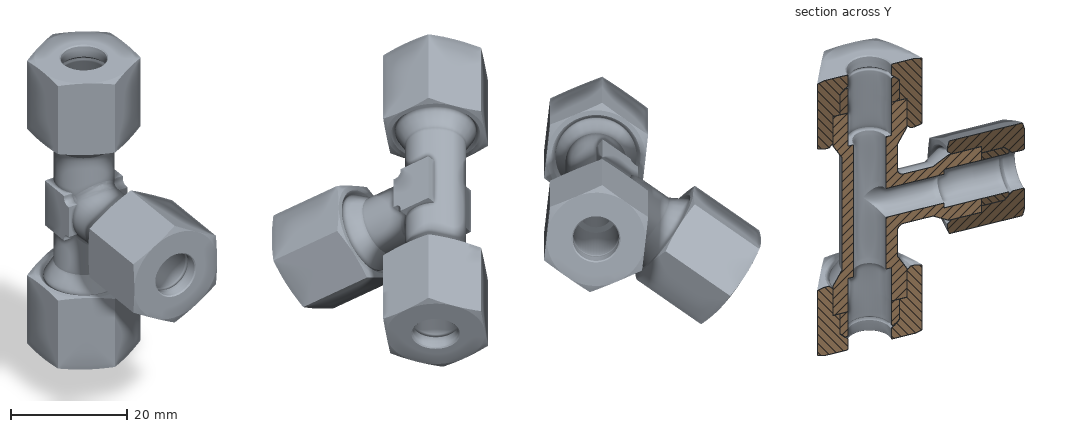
import cadquery as cq
import math

ARM_ANGLES = (0, 90, 180)

ARM_LENGTH = 29.0
BORE_DIAMETER = 6.0
TUBE_DIAMETER = 8.0

NUT_ACROSS_FLATS = 17.0
NUT_LENGTH = 14.5
NUT_CORNER_SLOPE = 15.0
NUT_MOUTH_DIAMETER = 15.3
NUT_MOUTH_DEPTH = 0.7
NUT_EXIT_CHAMFER = 0.205
NUT_EXIT_DEPTH = 2.3

FERRULE_DIAMETER = 11.0
FERRULE_SETBACK = 0.5
FERRULE_RIM_RADIUS = 0.35

STEM_DIAMETER = 10.5
STUD_DIAMETER = 14.0
STUD_END = 21.0
TUBE_STOP = 14.0
COLLAR_START = 11.85
COLLAR_SLOPE = 30.0
CROTCH_RADIUS = 1.1
EDGE_TOLERANCE = 0.005

BOSS_HALF_WIDTH = 3.0
BOSS_REACH = 4.5
BOSS_THICKNESS = 12.05

nut_start = ARM_LENGTH - NUT_LENGTH
seat_end = ARM_LENGTH - NUT_EXIT_DEPTH
seat_start = seat_end - (FERRULE_DIAMETER - TUBE_DIAMETER) / 2
ferrule_end = seat_end - FERRULE_SETBACK
nut_corner_diameter = NUT_ACROSS_FLATS / math.cos(math.radians(30))
collar_end = COLLAR_START + (STUD_DIAMETER - STEM_DIAMETER) / 2 / math.tan(math.radians(COLLAR_SLOPE))


def rod(diameter, start, end):
    """Round rod on the Z axis between two heights."""
    return cq.Workplane("XY").workplane(offset=start).circle(diameter / 2).extrude(end - start)


def cone(start_diameter, end_diameter, start, end):
    """Tapered rod on the Z axis between two heights."""
    profile = [(0, start), (start_diameter / 2, start), (end_diameter / 2, end), (0, end)]
    return cq.Workplane("XZ").polyline(profile).close().revolve(360, (0, 0), (0, 1))


def turn(solid, angle):
    """Turn an arm feature from +Z about the Y axis."""
    return solid.rotate((0, 0, 0), (0, 1, 0), angle)


def nut_envelope():
    """Turned blank that bevels the hexagon corners at both ends of the nut."""
    flat_radius = NUT_ACROSS_FLATS / 2
    corner_radius = nut_corner_diameter / 2
    bevel = (corner_radius - flat_radius) * math.tan(math.radians(NUT_CORNER_SLOPE))
    profile = [
        (0, nut_start),
        (flat_radius, nut_start),
        (corner_radius, nut_start + bevel),
        (corner_radius, ARM_LENGTH - bevel),
        (flat_radius, ARM_LENGTH),
        (0, ARM_LENGTH),
    ]
    return cq.Workplane("XZ").polyline(profile).close().revolve(360, (0, 0), (0, 1))


def ferrule_space():
    """Space inside the nut for the ferrule, closing at 45 degrees onto the tube diameter."""
    return rod(FERRULE_DIAMETER, STUD_END, seat_start).union(
        cone(FERRULE_DIAMETER, TUBE_DIAMETER, seat_start, seat_end)
    )


def make_nut():
    """Hexagon nut with a mouth bevel, stud recess, conical ferrule seat and tube exit."""
    hexagon = (
        cq.Workplane("XY").workplane(offset=nut_start).polygon(6, nut_corner_diameter).extrude(NUT_LENGTH)
    )
    exit_mouth_diameter = TUBE_DIAMETER + 2 * NUT_EXIT_CHAMFER
    return (
        hexagon.intersect(nut_envelope())
        .cut(cone(NUT_MOUTH_DIAMETER, STUD_DIAMETER, nut_start, nut_start + NUT_MOUTH_DEPTH))
        .cut(rod(STUD_DIAMETER, nut_start, STUD_END))
        .cut(ferrule_space())
        .cut(rod(TUBE_DIAMETER, seat_end, ARM_LENGTH))
        .cut(cone(TUBE_DIAMETER, exit_mouth_diameter, ARM_LENGTH - NUT_EXIT_CHAMFER, ARM_LENGTH))
    )


def make_ferrule():
    """Ring on the stud end that fits the nut seat, with a rounded rim where the tube enters."""
    ring = (
        ferrule_space()
        .cut(rod(FERRULE_DIAMETER, ferrule_end, seat_end))
        .cut(rod(TUBE_DIAMETER, STUD_END, ferrule_end))
    )
    inner_rim = ring.faces(">Z").edges(cq.selectors.RadiusNthSelector(0))
    return inner_rim.fillet(FERRULE_RIM_RADIUS)


def make_boss_block():
    """T-shaped block through the crossing whose front and back stand out as bosses."""
    outline = [
        (-BOSS_HALF_WIDTH, -BOSS_REACH),
        (BOSS_HALF_WIDTH, -BOSS_REACH),
        (BOSS_HALF_WIDTH, -BOSS_HALF_WIDTH),
        (BOSS_REACH, -BOSS_HALF_WIDTH),
        (BOSS_REACH, BOSS_HALF_WIDTH),
        (BOSS_HALF_WIDTH, BOSS_HALF_WIDTH),
        (BOSS_HALF_WIDTH, BOSS_REACH),
        (-BOSS_HALF_WIDTH, BOSS_REACH),
    ]
    return cq.Workplane("XZ").polyline(outline).close().extrude(BOSS_THICKNESS / 2, both=True)


def crotch_edges(body):
    """Edges of the two inner corners, which lie on the 45 degree planes between branch and stem."""
    def on_corner_plane(point):
        on_plane = abs(point.x - abs(point.z)) < EDGE_TOLERANCE
        return on_plane and point.x > BOSS_HALF_WIDTH - EDGE_TOLERANCE

    start, quarter, middle, end = 0, 0.25, 0.5, 1
    return [
        edge
        for edge in body.edges().vals()
        if all(on_corner_plane(point) for point in edge.positions([start, quarter, middle, end]))
    ]


def make_body():
    """Tee body: three studs with conical collars, bosses, rounded inner corners and stepped bores."""
    body = make_boss_block()
    for angle in ARM_ANGLES:
        body = body.union(turn(rod(STEM_DIAMETER, 0, COLLAR_START), angle))
    body = body.newObject(crotch_edges(body)).fillet(CROTCH_RADIUS)
    for angle in ARM_ANGLES:
        collar = cone(STEM_DIAMETER, STUD_DIAMETER, COLLAR_START, collar_end)
        stud = rod(STUD_DIAMETER, collar_end, STUD_END)
        body = body.union(turn(collar.union(stud), angle))
    for angle in ARM_ANGLES:
        bore = rod(BORE_DIAMETER, 0, TUBE_STOP)
        tube_socket = rod(TUBE_DIAMETER, TUBE_STOP, STUD_END)
        body = body.cut(turn(bore.union(tube_socket), angle))
    return body


tee_body = make_body()
nuts = [turn(make_nut(), angle) for angle in ARM_ANGLES]
ferrules = [turn(make_ferrule(), angle) for angle in ARM_ANGLES]

result = cq.Compound.makeCompound(
    [
        tee_body.val(),
        *[nut.val() for nut in nuts],
        *[ferrule.val() for ferrule in ferrules],
    ]
)